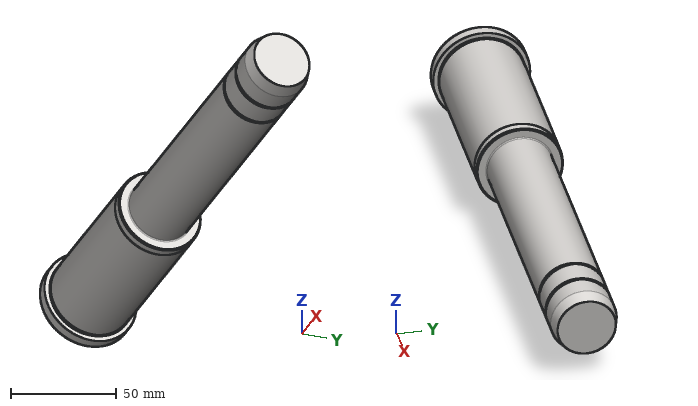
import cadquery as cq
import math

total_length = 251.0
taper_angle = 15.0

flange_diameter = 47.0
flange_thickness = 6.0
neck_width = 1.0

sleeve_diameter = 42.0
sleeve_end = 95.0
lead_length = 5.0
lead_diameter = 41.9
lead_chamfer = 0.5

pin_diameter = 32.0
pin_root_fillet = 0.5
nose_length = 7.0

groove_radius = 0.5
groove_distances_from_tip = (34.0, 19.0)

flange_radius = flange_diameter / 2
sleeve_radius = sleeve_diameter / 2
lead_radius = lead_diameter / 2
pin_radius = pin_diameter / 2

neck_end = flange_thickness + neck_width
lead_start = sleeve_end - lead_length
chamfer_start = sleeve_end - lead_chamfer
nose_start = total_length - nose_length


def taper_drop(length):
    """Radius lost along a cone of the common taper angle."""
    return length * math.tan(math.radians(taper_angle))


def revolve_about_x(profile):
    """Turn a closed half profile a full revolution about the X axis."""
    return profile.revolve(360, (0, 0, 0), (1, 0, 0))


def turned_section(start, end, start_radius, end_radius):
    """Cylinder or cone along X between two stations."""
    profile = cq.Workplane("XY").polyline(
        [(start, 0), (start, start_radius), (end, end_radius), (end, 0)]
    )
    return revolve_about_x(profile.close())


def pin_root():
    """Disc whose rim is the concave fillet between the sleeve face and the pin."""
    arc_inset = pin_root_fillet * (1 - math.sqrt(0.5))
    arc_middle = (sleeve_end + arc_inset, pin_radius + arc_inset)
    arc_end = (sleeve_end + pin_root_fillet, pin_radius)
    profile = (
        cq.Workplane("XY")
        .moveTo(sleeve_end, 0)
        .lineTo(sleeve_end, pin_radius + pin_root_fillet)
        .threePointArc(arc_middle, arc_end)
        .lineTo(sleeve_end + pin_root_fillet, 0)
    )
    return revolve_about_x(profile.close())


def groove_ring(center):
    """Ring of round section that cuts a half-round groove around the pin."""
    return cq.Workplane(
        cq.Solid.makeTorus(pin_radius, groove_radius, cq.Vector(center, 0, 0), cq.Vector(1, 0, 0))
    )


result = turned_section(0, flange_thickness, flange_radius, flange_radius)
neck_end_radius = sleeve_radius - taper_drop(neck_width)
result = result.union(turned_section(flange_thickness, neck_end, sleeve_radius, neck_end_radius))

result = result.union(turned_section(neck_end, lead_start, sleeve_radius, sleeve_radius))
result = result.union(turned_section(lead_start, chamfer_start, lead_radius, lead_radius))
result = result.union(turned_section(chamfer_start, sleeve_end, lead_radius, lead_radius - lead_chamfer))

result = result.union(pin_root())
result = result.union(turned_section(sleeve_end, nose_start, pin_radius, pin_radius))
tip_radius = pin_radius - taper_drop(nose_length)
result = result.union(turned_section(nose_start, total_length, pin_radius, tip_radius))

for distance in groove_distances_from_tip:
    result = result.cut(groove_ring(total_length - distance))